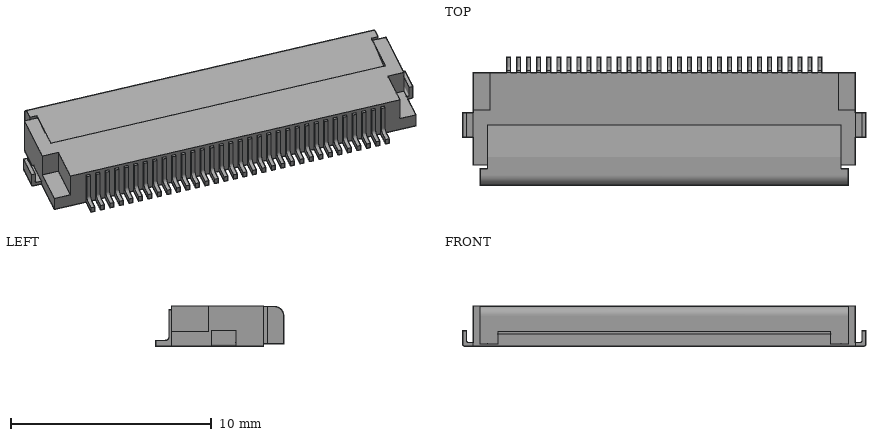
import cadquery as cq


housing_width = 19.05
housing_depth = 4.6
housing_height = 2.0
base_height = 0.6
corner_notch_width = 0.85
corner_notch_depth = 1.85
corner_ledge_height = 0.75

contact_count = 32
contact_pitch = 0.5
contact_width = 0.2
contact_height = 1.83
contact_thickness = 0.12
contact_reach = 0.78
foot_height = 0.3
contact_bend_radius = 0.18

slider_top = 1.99
tongue_width = 17.63
tongue_depth = 1.99
tongue_back_height = 1.7
ramp_front = 0.38
bar_width = 18.35
bar_front = -1.0
bar_back = -0.18
bar_bottom = 0.12
bar_edge_radius = 0.48
cable_opening_width = 16.58
cable_opening_top = 0.75

strap_length = 20.1
strap_thickness = 0.2
strap_front = 1.39
strap_width = 1.23
tab_height = 0.78
tab_outer_radius = 0.1
tab_inner_radius = 0.06


def block(width, y_front, y_back, z_bottom, z_top, x_center=0):
    """Box centred on x_center, between two Y positions and two Z positions."""
    return cq.Workplane("XY").box(
        width, y_back - y_front, z_top - z_bottom, centered=(True, False, False)
    ).translate((x_center, y_front, z_bottom))


def side_profile(points, width):
    """Closed (Y, Z) outline extruded evenly to both sides of X = 0."""
    return cq.Workplane("YZ").polyline(points).close().extrude(width / 2, both=True)


def make_solder_strap():
    """Flat strap across the underside, bent up into a tab at each end."""
    strap = block(strap_length, strap_front, strap_front + strap_width, 0, strap_thickness)
    for side in (-1, 1):
        tab_x = side * (strap_length - strap_thickness) / 2
        strap = strap.union(
            block(strap_thickness, strap_front, strap_front + strap_width, 0, tab_height, tab_x)
        )
    strap = strap.edges("|Y and <Z and (<X or >X)").fillet(tab_outer_radius)
    for side in (-1, 1):
        inner_corner = (
            side * (strap_length / 2 - strap_thickness),
            strap_front + strap_width / 2,
            strap_thickness,
        )
        bend = cq.selectors.NearestToPointSelector(inner_corner)
        strap = strap.edges("|Y").edges(bend).fillet(tab_inner_radius)
    return strap


def make_contact():
    """L-shaped contact: an upright on the housing back and a foot on the mounting plane."""
    upright_back = housing_depth + contact_thickness
    foot_tip = housing_depth + contact_reach
    outline = [
        (housing_depth, 0),
        (foot_tip, 0),
        (foot_tip, foot_height),
        (upright_back, foot_height),
        (upright_back, contact_height),
        (housing_depth, contact_height),
    ]
    contact = side_profile(outline, contact_width)
    bend = cq.selectors.NearestToPointSelector((0, upright_back, foot_height))
    return contact.edges("|X").edges(bend).fillet(contact_bend_radius)


def make_housing():
    """Moulded body with slider recess, rear corner notches, strap slot and contacts."""
    housing = block(housing_width, 0, housing_depth, 0, housing_height)
    slider_recess = block(tongue_width, 0, tongue_depth, base_height, housing_height)
    housing = housing.cut(slider_recess)

    for side in (-1, 1):
        notch_x = side * (housing_width - corner_notch_width) / 2
        notch_front = housing_depth - corner_notch_depth
        housing = housing.cut(
            block(corner_notch_width, notch_front, housing_depth,
                  corner_ledge_height, housing_height, notch_x)
        )

    strap_slot = block(housing_width, strap_front, strap_front + strap_width, 0, strap_thickness)
    housing = housing.cut(strap_slot)

    contact = make_contact()
    first_contact_x = -contact_pitch * (contact_count - 1) / 2
    for index in range(contact_count):
        housing = housing.union(contact.translate((first_contact_x + index * contact_pitch, 0, 0)))
    return housing


def make_slider():
    """Rounded front bar, a neck that meets the housing front, and a tongue ramping down to the back."""
    bar = block(bar_width, bar_front, bar_back, bar_bottom, slider_top)
    bar = bar.edges("|X and >Z and <Y").fillet(bar_edge_radius)
    neck = block(tongue_width, bar_back, 0, bar_bottom, slider_top)
    cable_opening = block(cable_opening_width, bar_front, bar_back, bar_bottom, cable_opening_top)
    neck_opening = block(cable_opening_width, bar_back, 0, bar_bottom, base_height)

    tongue_outline = [
        (0, base_height),
        (tongue_depth, base_height),
        (tongue_depth, tongue_back_height),
        (ramp_front, slider_top),
        (0, slider_top),
    ]
    tongue = side_profile(tongue_outline, tongue_width)
    return bar.union(neck).cut(cable_opening).cut(neck_opening).union(tongue)


solder_strap = make_solder_strap()
housing = make_housing()
slider = make_slider()

result = cq.Compound.makeCompound([housing.val(), slider.val(), solder_strap.val()])